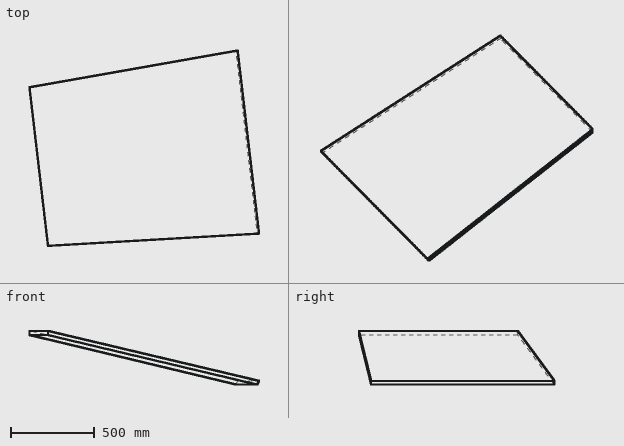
import cadquery as cq
import math

heading = 6.67
run = 1261.89
high_end_width = 954.81
low_end_width = 1102.21
height = 321.74
thickness = 25.0
pitch = 13.32

plumb_thickness = thickness / math.cos(math.radians(pitch))

slope = math.tan(math.radians(pitch))
drop = run * slope
lower_run = (height - plumb_thickness) / slope


def sloping_slab():
    """Full-width slab: plumb high end, undercut low end, running down along +X."""
    profile = [
        (0, 0),
        (run, -drop),
        (lower_run, -height),
        (0, -plumb_thickness),
    ]
    return cq.Workplane("XZ").polyline(profile).close().extrude(low_end_width / 2, both=True)


def plan_prism():
    """Plumb-sided prism with the symmetric trapezoid plan, widening downhill."""
    plan = [
        (0, -high_end_width / 2),
        (run, -low_end_width / 2),
        (run, low_end_width / 2),
        (0, high_end_width / 2),
    ]
    return cq.Workplane("XY").workplane(offset=-height).polyline(plan).close().extrude(height)


panel = sloping_slab().intersect(plan_prism())
result = panel.rotate((0, 0, 0), (0, 0, 1), heading)